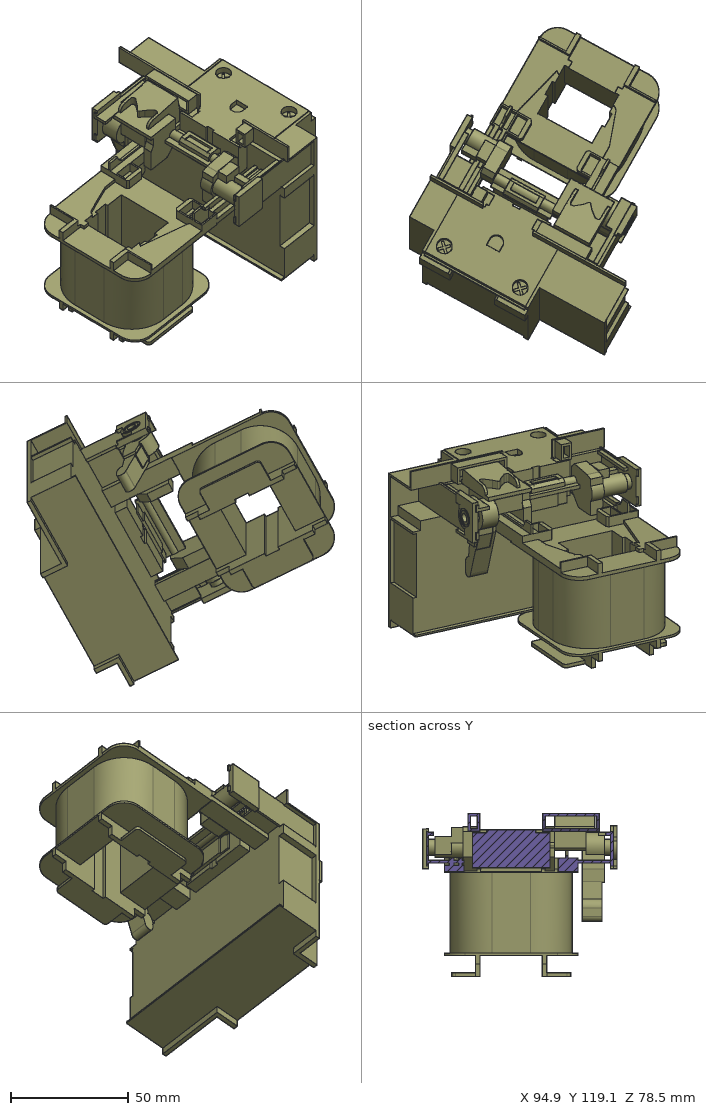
import cadquery as cq



def block(x, y, z):
    """Box from (low, high) pairs along each axis."""
    solid = cq.Workplane("XY").box(x[1] - x[0], y[1] - y[0], z[1] - z[0], centered=False)
    return solid.translate((x[0], y[0], z[0]))


def sym(half):
    """Pair of limits centred on zero."""
    return (-half, half)


def mirror_x(solid):
    """The solid together with its mirror image across X = 0."""
    return solid.union(solid.mirror("YZ"))


def profile_x(points, x):
    """Polygon in (y, z) extruded over the X range."""
    return cq.Workplane("YZ").polyline(points).close().extrude(x[1] - x[0]).translate((x[0], 0, 0))


def rod(radius, y, z, x):
    """Cylinder along X."""
    solid = cq.Workplane("YZ").center(y, z).circle(radius).extrude(x[1] - x[0])
    return solid.translate((x[0], 0, 0))


left, right = -57.3, 37.6
foot_top = 3.6
deck = 71.2
crest = 78.5
face_y = 85.3
shelf_y = 104.5
wing_back = 106.4
core_back = 116.4
lug_back = 119.1

core_half = 25.7
deck_half = 24.4
deck_step = 0.4
foot_half = 23.6
lip_y, lip_top = 83.1, 4.4
flange_y = (87.2, 88.1)
flange_z0 = 69.9
flange_gap = 12.1
shelf_z = 55.7
corner_z = 51.3
corner_width = 3.6
panel_z = (20.8, 50.3)
panel_left, panel_right = 1.7, 2.6
arm_left, arm_right = -43.6, 36.0


def make_housing():
    """Housing body with feet, side recesses, sunken panels and the upright flange."""
    wing_top = deck - deck_step
    body = block((left, right), (face_y, wing_back), (foot_top, wing_top))
    body = body.union(block((left, right), (shelf_y, wing_back), (0, wing_top)))
    body = body.union(block(sym(core_half), (wing_back, core_back), (0, wing_top)))
    body = body.union(block((left, right), (lip_y, face_y), (foot_top, lip_top)))
    body = body.cut(block(sym(foot_half), (face_y, core_back), (0, foot_top)))

    front = (lip_y, shelf_y)
    side_z = (shelf_z, flange_z0)
    body = body.cut(block((left, arm_left), front, side_z))
    body = body.cut(block((arm_right, right), front, side_z))
    body = body.cut(block((left, left + corner_width), front, (corner_z, shelf_z)))
    body = body.cut(block((left, left + panel_left), front, panel_z))
    body = body.cut(block((right - panel_right, right), front, panel_z))
    body = body.cut(block((left, right), (lip_y, flange_y[0]), (flange_z0, deck)))

    flange = block((left, right), flange_y, (flange_z0, crest))
    flange = flange.cut(block(sym(flange_gap), flange_y, (deck, crest)))
    return body.union(flange)


lug_x, lug_z, lug_chamfer = (10.8, core_half), (53.7, 66.0), 1.0
rear_lip_y, rear_lip_z = 117.2, (66.0, 67.6)
neck_half, neck_y = 10.5, 79.7
head_half, head_depth, head_z0 = 16.5, 5.6, 54.9
head_notch_half, head_notch_depth = 1.8, 1.1
shoulder_half, shoulder_y = 11.7, 85.6
screw_x, screw_y, screw_radius, screw_depth = 18.5, 110.3, 3.3, 3.0
cross_length, cross_width, cross_depth = 5.5, 1.1, 0.4
window_half, window_flat_y, window_depth = 3.1, 101.1, 2.4


def make_core():
    """Central core with its rear lugs and the notched head reaching out in front."""
    core = block(sym(deck_half), (flange_y[1], core_back), (foot_top, deck))
    core = core.union(block(sym(shoulder_half), (shoulder_y, flange_y[1]), (head_z0, deck)))
    core = core.union(block(sym(neck_half), (neck_y, shoulder_y), (head_z0, deck)))
    lintel_y = (neck_y, neck_y + head_notch_depth)
    core = core.union(block(sym(head_half), (neck_y, neck_y + head_depth), (head_z0, flange_z0)))
    core = core.union(block(sym(head_half), lintel_y, (head_z0, deck)))
    core = core.cut(block(sym(head_notch_half), lintel_y, (head_z0, deck)))
    lug = block(lug_x, (core_back, lug_back), lug_z).edges("<X and >Z").chamfer(lug_chamfer)
    core = core.union(mirror_x(lug))
    core = core.union(block(sym(deck_half), (core_back, rear_lip_y), rear_lip_z))
    return core


def make_deck_recesses():
    """Screw seats with crossed driver slots, and the D-shaped window in the top."""
    arc_y = window_flat_y - window_half
    recesses = (
        cq.Workplane("XY", origin=(0, 0, deck - window_depth))
        .moveTo(-window_half, window_flat_y)
        .lineTo(window_half, window_flat_y)
        .lineTo(window_half, arc_y)
        .threePointArc((0, arc_y - window_half), (-window_half, arc_y))
        .close()
        .extrude(window_depth)
    )
    for x in (-screw_x, screw_x):
        floor = deck - screw_depth
        seat = cq.Workplane("XY", origin=(x, screw_y, floor))
        recesses = recesses.union(seat.circle(screw_radius).extrude(screw_depth))
        for angle in (45, -45):
            slot = seat.transformed(rotate=(0, 0, angle)).rect(cross_length, cross_width)
            recesses = recesses.union(slot.extrude(-cross_depth))
    return recesses


guide_z = (70.5, 78.1)
guide_y = (81.7, flange_y[0])
guide_wall = 1.2
guide_left, guide_right = (-37.5, -13.3), (13.3, 18.5)


def make_guide(x):
    """Shallow box open towards the front."""
    guide = block(x, guide_y, guide_z)
    inside_x = (x[0] + guide_wall, x[1] - guide_wall)
    inside_z = (guide_z[0] + guide_wall, guide_z[1] - guide_wall)
    return guide.cut(block(inside_x, (guide_y[0], guide_y[1] - guide_wall), inside_z))


pivot_y, pivot_z = 62.6, 63.7
arm_thick, arm_thick_right = 1.3, 0.8
arm_z = (shelf_z, 70.5)
plate_y, plate_z = (55.7, 71.0), (54.5, 72.9)
plate_left, plate_right = -45.1, right
plate_right_z = (54.5, 71.6)
plate_relief_y = 69.8
rail_z = (68.7, 70.1)
rail_width = 2.0
clip_y, clip_width = (55.0, 69.0), 5.1
clip_step_z = ((55.7, 59.1), (68.6, 71.7))
floor_y, floor_z = (71.0, face_y), (56.9, 58.2)
floor_inner = 20.0
bearing_radius, bearing_groove = 4.0, 0.2
pin_radius, bore_radius = 3.2, 1.9


def make_arms():
    """Both arms with their end plates, rails, left bearing and the floor webs."""
    left_inner = arm_left + arm_thick
    right_inner = arm_right - arm_thick_right
    arm_y = (plate_y[1], shelf_y)
    arms = block((arm_left, left_inner), arm_y, arm_z)
    arms = arms.union(block((right_inner, arm_right), arm_y, arm_z))
    arms = arms.union(block((arm_left, left_inner), plate_y, plate_z))
    arms = arms.union(block((right_inner, plate_right), plate_y, plate_right_z))

    pad_radius, pad_reach, pad_top = 5.1, 4.4, 68.1
    pad = block((plate_left, arm_left), (plate_y[0], plate_relief_y), plate_z)
    relief = block((plate_left, arm_left), (pivot_y, plate_relief_y), (shelf_z, pad_top))
    relief = relief.cut(rod(pad_radius, pivot_y, pivot_z, (plate_left, arm_left)))
    relief = relief.cut(block((plate_left, arm_left), (pivot_y, pivot_y + pad_reach), (pivot_z, pad_top)))
    arms = arms.union(pad.cut(relief))

    ring = rod(bearing_radius, pivot_y, pivot_z, (plate_left, plate_left + bearing_groove))
    ring = ring.cut(rod(pin_radius, pivot_y, pivot_z, (plate_left, left_inner)))
    arms = arms.cut(ring)
    arms = arms.cut(rod(bore_radius, pivot_y, pivot_z, (plate_left, left_inner)))

    arms = arms.union(block((left_inner, left_inner + rail_width), (clip_y[1], face_y), rail_z))
    arms = arms.union(block((right_inner - rail_width, right_inner), (pivot_y, face_y), rail_z))
    arms = arms.union(block((left_inner, left_inner + clip_width), clip_y, rail_z))
    for step_z in clip_step_z:
        for x in ((arm_left, left_inner), (right_inner, arm_right)):
            arms = arms.union(block(x, (clip_y[0], plate_y[0]), step_z))

    arms = arms.union(block((left_inner, -floor_inner), floor_y, floor_z))
    return arms.union(block((floor_inner, right_inner), floor_y, floor_z))


hub_radius, hub_x = 6.4, (-39.8, -31.9)
boss_radius, boss_x = 4.4, (14.5, 32.5)
stub_radius = 3.5
cheek_left, cheek_right = (-18.5, -14.4), (14.5, 20.5)
cheek_bottom, cheek_top, cheek_front = 53.6, 72.5, 58.6
left_cheek_back = 74.5
nose_radius = 5.4
stop_x, stop_y, stop_z = (20.5, 25.5), (61.7, 69.8), (65.5, 72.2)
bracket_x, bracket_y, bracket_z = (stop_x[1], boss_x[1]), (66.7, 69.8), (60.7, 68.4)
bar_y, bar_z, bar_radius = 72.7, 64.5, 2.3
strip_y, strip_z = (67.6, 76.9), (62.9, bar_z)
grip_half, grip_radius = 8.2, 2.9
grip_y, grip_top, grip_bevel = (69.7, 77.4), 67.9, 1.4
grip_pocket_half, grip_pocket_y = 6.2, (71.1, 74.5)
blade_half, blade_thick = 13.0, 0.7
tongue_thick = 1.4
blade_bottom = 53.4


def make_yoke():
    """Pivoted yoke: hub, boss, two cheeks and the grip bar between them."""
    pin_left = arm_left + arm_thick
    right_inner = arm_right - arm_thick_right
    yoke = rod(stub_radius, pivot_y, pivot_z, (pin_left, hub_x[0]))
    yoke = yoke.union(rod(hub_radius, pivot_y, pivot_z, hub_x))
    yoke = yoke.union(rod(boss_radius, pivot_y, pivot_z, boss_x))
    yoke = yoke.union(rod(stub_radius, pivot_y, pivot_z, (boss_x[1], right_inner)))
    yoke = yoke.union(block(stop_x, stop_y, stop_z))
    yoke = yoke.union(block(bracket_x, bracket_y, bracket_z))

    right_cheek = [(74.9, 70.5), (72.5, cheek_top), (61.7, 71.5), (cheek_front, 70.5),
                   (cheek_front, cheek_bottom), (69.1, cheek_bottom), (74.9, 59.5)]
    left_cheek = [(left_cheek_back, cheek_top), (60.1, cheek_top), (60.1, 66.8), (cheek_front, 64.0),
                  (cheek_front, cheek_bottom), (69.1, cheek_bottom), (left_cheek_back, 59.5)]
    yoke = yoke.union(profile_x(right_cheek, cheek_right))
    yoke = yoke.union(rod(nose_radius, pivot_y, pivot_z, cheek_right))
    yoke = yoke.union(profile_x(left_cheek, cheek_left))

    span = (cheek_left[1], cheek_right[0])
    yoke = yoke.union(rod(bar_radius, bar_y, bar_z, (hub_x[1], span[1])))
    yoke = yoke.union(block(span, strip_y, strip_z))
    grip = block(sym(grip_half), grip_y, (strip_z[0], grip_top)).edges("|X and >Z").chamfer(grip_bevel)
    pocket = block(sym(grip_pocket_half), grip_pocket_y, (bar_z, grip_top))
    pocket = pocket.cut(rod(grip_radius, bar_y, bar_z, sym(grip_half)))
    yoke = yoke.union(grip.cut(pocket))

    blade_z = (blade_bottom, strip_z[1])
    yoke = yoke.union(block(sym(blade_half), (strip_y[1] - blade_thick, strip_y[1]), blade_z))
    return yoke.union(block(sym(grip_half), (strip_y[1] - tongue_thick, strip_y[1]), blade_z))


slider_x = (-35.6, cheek_left[0])
slider_y = (cheek_front, 81.7)
slider_z = (63.4, cheek_top)
slab_z0, slab_overhang = 70.7, 0.7
finger_width, finger_tip_y, notch_round = 1.3, 61.7, 0.8


def make_slider():
    """Sloping latch slider with an M-shaped front edge between two side fingers."""
    body_y = (slider_y[0] + slab_overhang, slider_y[1])
    slider = block((hub_x[1], slider_x[1]), body_y, slider_z)
    slab_z = (slab_z0, slider_z[1])
    slider = slider.union(block(slider_x, slider_y, slab_z))
    slider = slider.union(block((slider_x[1], cheek_left[1]), (cheek_front, left_cheek_back), slab_z))

    wedge = (
        cq.Workplane("YZ")
        .moveTo(slider_y[1], slab_z0)
        .lineTo(80.5, 77.7)
        .lineTo(64.7, 76.1)
        .threePointArc((62.6, 75.2), (finger_tip_y, 73.5))
        .lineTo(finger_tip_y, slab_z0)
        .close()
        .extrude(slider_x[1] - slider_x[0])
        .translate((slider_x[0], 0, 0))
    )
    middle = (slider_x[0] + slider_x[1]) / 2
    half = (slider_x[1] - slider_x[0]) / 2 - finger_width
    edge = [(half, slider_y[0]), (half, 69.3), (half - 1.9, 69.3), (2.0, 66.6), (0, 64.1)]
    outline = edge + [(-x, y) for x, y in reversed(edge[:-1])]
    notch = cq.Workplane("XY", origin=(middle, 0, slider_z[1])).polyline(outline).close()
    notch = notch.extrude(crest - slider_z[1]).edges("|Z").fillet(notch_round)
    return slider.union(wedge.cut(notch))


lever_x = (-38.7, -30.3)
root_edge_z, root_front_z = 48.7, 47.0
root_offset = 0.5


def lever_blade(x):
    """Lever side profile extruded over the X range."""
    profile = (
        cq.Workplane("YZ")
        .moveTo(67.9, pivot_z)
        .lineTo(69.3, 54.5)
        .lineTo(69.3, 49.2)
        .lineTo(70.3, 41.7)
        .threePointArc((72.2, 40.3), (73.0, 37.9))
        .lineTo(73.0, 34.3)
        .threePointArc((71.0, 32.2), (68.6, 34.1))
        .lineTo(61.7, 54.5)
        .lineTo(61.7, pivot_z)
        .close()
    )
    return profile.extrude(x[1] - x[0]).translate((x[0], 0, 0))


def make_lever():
    """Release lever hanging from the left hub, thicker at its root."""
    depth = (0, lug_back)
    edge = block((hub_x[0], lever_x[0]), depth, (root_edge_z, crest))
    front = block((lever_x[0], hub_x[1]), depth, (root_front_z, crest))
    lever = lever_blade(lever_x).union(lever_blade(hub_x).intersect(edge))
    return lever.union(lever_blade(hub_x).translate((0, -root_offset, 0)).intersect(front))


bobbin_half, bobbin_back = 28.5, 52.3
corner_radius = 8.8
coil_half, coil_y, coil_radius = 26.1, (2.0, 50.3), 17.9
low_flange_z, top_flange_z = (17.6, 18.7), (52.9, 54.5)
plateau_z, wall_z, fin_z = 56.1, 59.2, 63.7
window_x, window_y = 13.2, (14.3, 37.9)
notch_x, notch_y = 14.5, (22.6, 29.1)
box_y = 42.2
corner_wall, corner_wall_y = 2.1, (9.2, 9.9)


def rounded(half, y, radius, z):
    """Upright rounded rectangle."""
    return block(sym(half), y, z).edges("|Z").fillet(radius)


def make_bobbin():
    """Wound coil between two flanges, with plateaus, corner walls and a square window."""
    depth = (0, bobbin_back)
    bobbin = rounded(bobbin_half, depth, corner_radius, low_flange_z)
    bobbin = bobbin.union(rounded(coil_half, coil_y, coil_radius, (low_flange_z[1], top_flange_z[0])))
    bobbin = bobbin.union(rounded(bobbin_half, depth, corner_radius, top_flange_z))

    step_y, step_width = 11.3, 2.0
    rim = [(-bobbin_half, corner_wall_y[1]), (-bobbin_half, box_y)]
    throat = [(-window_x, corner_wall_y[1]), (-window_x, step_y), (-window_x + step_width, step_y),
              (-window_x + step_width, window_y[0]), (-window_x, 19.0)]
    edges = {1: [(-15.2, 20.4), (-20.5, 35.7), (-20.5, box_y)], -1: [(-15.0, 17.9), (-21.3, box_y)]}
    for side, edge in edges.items():
        outline = [(side * x, y) for x, y in throat + edge + rim[::-1]]
        plateau = cq.Workplane("XY", origin=(0, 0, top_flange_z[0])).polyline(outline).close()
        bobbin = bobbin.union(plateau.extrude(plateau_z - top_flange_z[0]))

    wall_height = (top_flange_z[0], wall_z)
    walls = block((-bobbin_half, -window_x), corner_wall_y, wall_height)
    walls = walls.union(block((-window_x - corner_wall, -window_x), (0, corner_wall_y[1]), wall_height))
    bobbin = bobbin.union(mirror_x(walls))

    through = (0, crest)
    bobbin = bobbin.cut(block(sym(window_x), window_y, through))
    bobbin = bobbin.cut(block(sym(notch_x), notch_y, through))
    return bobbin


rib_thick = 2.0
rib_z, tab_z = (8.7, 13.9), (8.7, 10.4)
rib_y = (6.0, 46.2)
tab_x, tab_y, tab_radius = 25.4, (11.4, 40.7), 1.7


def make_bobbin_ribs():
    """L-section rails below the lower flange."""
    rib_x = (window_x, window_x + rib_thick)
    rib = block(rib_x, (0, bobbin_back), (rib_z[1], low_flange_z[0]))
    rib = rib.union(block(rib_x, rib_y, rib_z))
    tab = block((window_x, tab_x), tab_y, tab_z).edges("|Z and >X").fillet(tab_radius)
    return mirror_x(rib.union(tab)).cut(block(sym(notch_x), notch_y, (0, crest)))


leg_x, leg_bottom = (20.0, bobbin_half), 53.4
fin_x = (23.2, 24.3)
fin_foot_z = 60.1
box_back, box_chamfer, box_wall = 52.0, 1.0, 0.7
pocket_x, side_pocket_x0 = (15.2, 20.1), 20.8
leg_walls_x = ((20.7, 22.4), (24.3, 26.4))


def make_bobbin_legs():
    """Terminal boxes at the back of the bobbin and the legs joining it to the housing."""
    box = block((window_x, bobbin_half), (box_y, box_back), (top_flange_z[0], wall_z))
    box = box.edges("|Z and <X").chamfer(box_chamfer)
    pocket_y = (box_y + box_wall, box_back - box_wall)
    pocket_z = (top_flange_z[1], wall_z)
    first = block(pocket_x, pocket_y, pocket_z)
    right_box = box.cut(first)
    for x in ((side_pocket_x0, fin_x[0]), (fin_x[1], bobbin_half - box_wall)):
        right_box = right_box.cut(block(x, pocket_y, pocket_z))
    left_box = box.cut(first).mirror("YZ")

    fin = (
        cq.Workplane("YZ")
        .moveTo(box_y, top_flange_z[1])
        .lineTo(box_y, fin_z)
        .lineTo(47.0, fin_z)
        .threePointArc((48.0, 61.6), (49.8, fin_foot_z))
        .lineTo(face_y, fin_foot_z)
        .lineTo(face_y, top_flange_z[1])
        .close()
        .extrude(fin_x[1] - fin_x[0])
        .translate((fin_x[0], 0, 0))
    )
    right_fin = fin.intersect(block(fin_x, (box_y, box_back), (0, crest)))

    leg_y = (box_back, face_y)
    left_leg = block(leg_x, leg_y, (leg_bottom, wall_z)).mirror("YZ")
    right_leg = block(leg_x, leg_y, (leg_bottom, plateau_z))
    for x in leg_walls_x:
        right_leg = right_leg.union(block(x, leg_y, (leg_bottom, wall_z)))
    left_side = left_box.union(left_leg).union(fin.mirror("YZ"))
    right_side = right_box.union(right_leg).union(right_fin)
    return left_side.union(right_side)


result = make_housing()
features = [make_core(), make_guide(guide_left), make_guide(guide_right), make_arms(), make_yoke(),
            make_slider(), make_lever(), make_bobbin(), make_bobbin_ribs(), make_bobbin_legs()]
for feature in features:
    result = result.union(feature)
result = result.cut(make_deck_recesses())